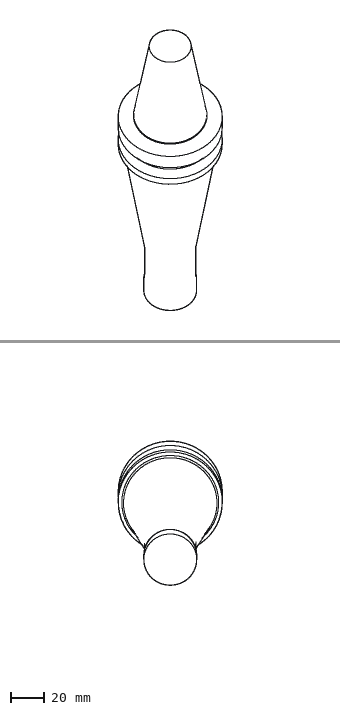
import cadquery as cq

TOTAL_LENGTH = 230.5

TAPER_LENGTH = 65.5
TAPER_RATIO = 7 / 24
GAUGE_DIAMETER = 44.5
TAPER_END_DIAMETER = GAUGE_DIAMETER - TAPER_RATIO * TAPER_LENGTH

NECK_LENGTH = 1.0
NECK_DIAMETER = 43.5

FLANGE_DIAMETER = 63.0
UPPER_RIM_HEIGHT = 10.5
LOWER_RIM_HEIGHT = 5.3
GROOVE_DIAMETER = 53.0
GROOVE_FLANK_HEIGHT = 3.0
GROOVE_FLOOR_HEIGHT = 4.4

BODY_COLLAR_DIAMETER = 58.5
BODY_TOP_DIAMETER = 56.5
BODY_COLLAR_HEIGHT = 1.4
BODY_END_Z = 42.2

NOSE_DIAMETER = 30.9
NOSE_BAND_TOP_DIAMETER = 31.0
NOSE_BAND_HEIGHT = 4.1
END_COLLAR_DIAMETER = 32.0
END_COLLAR_HEIGHT = 11.0
END_COLLAR_CHAMFER_HEIGHT = 2.0

gauge_z = TOTAL_LENGTH - TAPER_LENGTH
flange_top_z = gauge_z - NECK_LENGTH
upper_rim_z = flange_top_z - UPPER_RIM_HEIGHT
groove_top_z = upper_rim_z - GROOVE_FLANK_HEIGHT
groove_bottom_z = groove_top_z - GROOVE_FLOOR_HEIGHT
lower_rim_z = groove_bottom_z - GROOVE_FLANK_HEIGHT
flange_bottom_z = lower_rim_z - LOWER_RIM_HEIGHT
body_top_z = flange_bottom_z - BODY_COLLAR_HEIGHT
band_bottom_z = BODY_END_Z - NOSE_BAND_HEIGHT


def tapered_section(bottom_z, top_z, bottom_diameter, top_diameter):
    """Solid cone or cylinder on the Z axis between two heights."""
    half_profile = [
        (0, bottom_z),
        (bottom_diameter / 2, bottom_z),
        (top_diameter / 2, top_z),
        (0, top_z),
    ]
    return cq.Workplane("XZ").polyline(half_profile).close().revolve(360, (0, 0), (0, 1))


def make_taper():
    neck = tapered_section(flange_top_z, gauge_z, NECK_DIAMETER, NECK_DIAMETER)
    taper = tapered_section(gauge_z, TOTAL_LENGTH, GAUGE_DIAMETER, TAPER_END_DIAMETER)
    return neck.union(taper)


def make_flange():
    lower_rim = tapered_section(flange_bottom_z, lower_rim_z, FLANGE_DIAMETER, FLANGE_DIAMETER)
    lower_flank = tapered_section(lower_rim_z, groove_bottom_z, FLANGE_DIAMETER, GROOVE_DIAMETER)
    groove_floor = tapered_section(groove_bottom_z, groove_top_z, GROOVE_DIAMETER, GROOVE_DIAMETER)
    upper_flank = tapered_section(groove_top_z, upper_rim_z, GROOVE_DIAMETER, FLANGE_DIAMETER)
    upper_rim = tapered_section(upper_rim_z, flange_top_z, FLANGE_DIAMETER, FLANGE_DIAMETER)
    return lower_rim.union(lower_flank).union(groove_floor).union(upper_flank).union(upper_rim)


def make_body():
    cone = tapered_section(BODY_END_Z, body_top_z, NOSE_BAND_TOP_DIAMETER, BODY_TOP_DIAMETER)
    collar = tapered_section(body_top_z, flange_bottom_z, BODY_TOP_DIAMETER, BODY_COLLAR_DIAMETER)
    return cone.union(collar)


def make_nose():
    chamfer_top_z = END_COLLAR_HEIGHT + END_COLLAR_CHAMFER_HEIGHT
    end_collar = tapered_section(0, END_COLLAR_HEIGHT, END_COLLAR_DIAMETER, END_COLLAR_DIAMETER)
    chamfer = tapered_section(END_COLLAR_HEIGHT, chamfer_top_z, END_COLLAR_DIAMETER, NOSE_DIAMETER)
    cylinder = tapered_section(chamfer_top_z, band_bottom_z, NOSE_DIAMETER, NOSE_DIAMETER)
    band = tapered_section(band_bottom_z, BODY_END_Z, NOSE_DIAMETER, NOSE_BAND_TOP_DIAMETER)
    return end_collar.union(chamfer).union(cylinder).union(band)


result = make_nose().union(make_body()).union(make_flange()).union(make_taper())